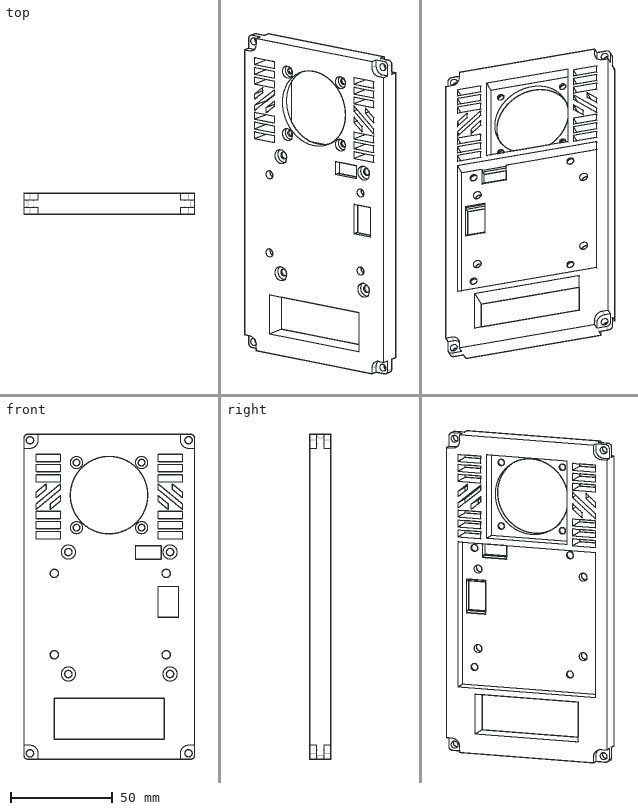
import cadquery as cq

WIDTH = 84.0
THICKNESS = 10.5
HEIGHT = 160.0
CORNER_RADIUS = 2.0
SKIN = 3.5
FRONT_Y = -THICKNESS / 2
REAR_Y = THICKNESS / 2

LUG_THICKNESS = 3.5
LUG_HOLE_INSET = 3.0
LUG_HOLE_DIAMETER = 3.5
LUG_NOTCH_SIZE = 7.0
LUG_NOTCH_RADIUS = LUG_NOTCH_SIZE - LUG_HOLE_INSET

SCREW_HEAD_DEPTH = 2.5

FAN_CENTRE = (-0.1, 50.0)
FAN_OPENING_DIAMETER = 38.0
FAN_POCKET_SIZE = 42.0
FAN_SCREW_SPACING = 32.0
FAN_SCREW_DIAMETER = 3.2
FAN_SCREW_HEAD_DIAMETER = 6.0

BOARD_CENTRE = (4.9, -8.0)
BOARD_SCREW_SPACING_X = 50.0
BOARD_SCREW_SPACING_Z = 60.0
BOARD_SCREW_DIAMETER = 3.5
BOARD_SCREW_HEAD_DIAMETER = 7.0

PLAIN_HOLE_CENTRE = (0.5, -8.5)
PLAIN_HOLE_SPACING_X = 55.0
PLAIN_HOLE_SPACING_Z = 40.0
PLAIN_HOLE_DIAMETER = 4.0

SMALL_PORT_SIZE = (12.5, 6.5)
SMALL_PORT_CENTRE = (19.25, 21.75)
TALL_PORT_SIZE = (10.0, 15.0)
TALL_PORT_CENTRE = (29.0, -2.5)
PORT_SKIN = 2.5
PORT_RELIEF_MARGIN = 1.0
WINDOW_SIZE = (54.0, 20.0)
WINDOW_CENTRE = (0.0, -60.0)

VENT_INNER_X = 24.0
VENT_OUTER_X = 36.0
VENT_BOTTOM_Z = 28.5
VENT_SLOT_HEIGHT = 3.5
VENT_GAP = 1.5
VENT_DIAGONAL_GAP = 1.0
VENT_SLOTS_PER_GROUP = 3
VENT_DIAGONAL_HEIGHT = 12.5
VENT_BAND_HEIGHT = 2.6
VENT_SHORT_BAND_WIDTH = 5.0

RECESS_WALL = 3.0
RECESS_HALF_WIDTH = VENT_OUTER_X
RECESS_TOP_Z = FAN_CENTRE[1] - FAN_POCKET_SIZE / 2 - RECESS_WALL
RECESS_BOTTOM_Z = WINDOW_CENTRE[1] + WINDOW_SIZE[1] / 2 + RECESS_WALL


def sketch_at(y):
    """Workplane facing -Y, with local axes X and Z."""
    return cq.Workplane(cq.Plane(origin=(0, y, 0), xDir=(1, 0, 0), normal=(0, -1, 0)))


def extrude_back(sketch, depth):
    """Extrude from the sketch plane towards +Y."""
    return sketch.extrude(-depth)


def block(size, centre, y=FRONT_Y, depth=THICKNESS):
    return extrude_back(sketch_at(y).center(*centre).rect(*size), depth)


def cylinders(points, diameter, depth=THICKNESS):
    return extrude_back(sketch_at(FRONT_Y).pushPoints(points).circle(diameter / 2), depth)


def rectangle_corners(centre, spacing_x, spacing_z):
    return [
        (centre[0] + sx * spacing_x / 2, centre[1] + sz * spacing_z / 2)
        for sx in (-1, 1)
        for sz in (-1, 1)
    ]


def counterbored_holes(points, diameter, head_diameter):
    return cylinders(points, diameter).union(cylinders(points, head_diameter, SCREW_HEAD_DEPTH))


def plate():
    body = block((WIDTH, HEIGHT), (0, 0))
    return body.edges("|Y").fillet(CORNER_RADIUS)


def lug_notches():
    """Front and rear cuts at each corner, rounded about the lug hole."""
    depth = (THICKNESS - LUG_THICKNESS) / 2
    size = 2 * LUG_NOTCH_SIZE
    corners = rectangle_corners((0, 0), WIDTH, HEIGHT)
    cuts = cq.Workplane()
    for y in (FRONT_Y, REAR_Y - depth):
        for corner in corners:
            cut = block((size, size), corner, y, depth)
            cuts = cuts.add(cut.edges("|Y").fillet(LUG_NOTCH_RADIUS))
    return cuts.combine()


def lug_holes():
    points = rectangle_corners((0, 0), WIDTH - 2 * LUG_HOLE_INSET, HEIGHT - 2 * LUG_HOLE_INSET)
    return cylinders(points, LUG_HOLE_DIAMETER)


def rear_recesses():
    depth = THICKNESS - SKIN
    y = FRONT_Y + SKIN
    fan_pocket = block((FAN_POCKET_SIZE, FAN_POCKET_SIZE), FAN_CENTRE, y, depth)
    board_size = (2 * RECESS_HALF_WIDTH, RECESS_TOP_Z - RECESS_BOTTOM_Z)
    board_centre = (0, (RECESS_TOP_Z + RECESS_BOTTOM_Z) / 2)
    return fan_pocket.union(block(board_size, board_centre, y, depth))


def port_reliefs():
    """Shallow steps in the recess floor that thin the wall around both ports."""
    cuts = cq.Workplane()
    for size, centre in ((SMALL_PORT_SIZE, SMALL_PORT_CENTRE), (TALL_PORT_SIZE, TALL_PORT_CENTRE)):
        relief_size = (size[0], size[1] + 2 * PORT_RELIEF_MARGIN)
        cuts = cuts.add(block(relief_size, centre, FRONT_Y + PORT_SKIN, SKIN - PORT_SKIN))
    return cuts.combine()


def fan_holes():
    points = rectangle_corners(FAN_CENTRE, FAN_SCREW_SPACING, FAN_SCREW_SPACING)
    opening = cylinders([FAN_CENTRE], FAN_OPENING_DIAMETER)
    return opening.union(counterbored_holes(points, FAN_SCREW_DIAMETER, FAN_SCREW_HEAD_DIAMETER))


def board_holes():
    points = rectangle_corners(BOARD_CENTRE, BOARD_SCREW_SPACING_X, BOARD_SCREW_SPACING_Z)
    return counterbored_holes(points, BOARD_SCREW_DIAMETER, BOARD_SCREW_HEAD_DIAMETER)


def plain_holes():
    points = rectangle_corners(PLAIN_HOLE_CENTRE, PLAIN_HOLE_SPACING_X, PLAIN_HOLE_SPACING_Z)
    return cylinders(points, PLAIN_HOLE_DIAMETER)


def rectangular_openings():
    small_port = block(SMALL_PORT_SIZE, SMALL_PORT_CENTRE)
    tall_port = block(TALL_PORT_SIZE, TALL_PORT_CENTRE)
    window = block(WINDOW_SIZE, WINDOW_CENTRE)
    return small_port.union(tall_port).union(window)


def diagonal_band(start_x, end_x, start_z, slope):
    """Parallelogram with vertical ends; start_z is its lower edge at start_x."""
    end_z = start_z + slope * (end_x - start_x)
    outline = sketch_at(FRONT_Y).polyline([
        (start_x, start_z),
        (end_x, end_z),
        (end_x, end_z + VENT_BAND_HEIGHT),
        (start_x, start_z + VENT_BAND_HEIGHT),
    ])
    return extrude_back(outline.close(), THICKNESS)


def right_vent():
    """Two groups of level slots with three falling diagonal bands between them."""
    width = VENT_OUTER_X - VENT_INNER_X
    centre_x = (VENT_OUTER_X + VENT_INNER_X) / 2
    pitch = VENT_SLOT_HEIGHT + VENT_GAP
    group_height = VENT_SLOTS_PER_GROUP * pitch - VENT_GAP
    diagonal_bottom = VENT_BOTTOM_Z + group_height + VENT_DIAGONAL_GAP
    diagonal_top = diagonal_bottom + VENT_DIAGONAL_HEIGHT
    slope = -(VENT_DIAGONAL_HEIGHT - VENT_BAND_HEIGHT) / width

    long_start_z = diagonal_top - VENT_BAND_HEIGHT
    cut = diagonal_band(VENT_INNER_X, VENT_OUTER_X, long_start_z, slope)
    upper_start_x = VENT_OUTER_X - VENT_SHORT_BAND_WIDTH
    cut = cut.union(diagonal_band(upper_start_x, VENT_OUTER_X, long_start_z, slope))
    lower_end_x = VENT_INNER_X + VENT_SHORT_BAND_WIDTH
    lower_start_z = diagonal_bottom - slope * VENT_SHORT_BAND_WIDTH
    cut = cut.union(diagonal_band(VENT_INNER_X, lower_end_x, lower_start_z, slope))

    for group_bottom in (VENT_BOTTOM_Z, diagonal_top + VENT_DIAGONAL_GAP):
        for index in range(VENT_SLOTS_PER_GROUP):
            slot_z = group_bottom + index * pitch + VENT_SLOT_HEIGHT / 2
            cut = cut.union(block((width, VENT_SLOT_HEIGHT), (centre_x, slot_z)))
    return cut


def vents():
    right = right_vent()
    return right.union(right.mirror("YZ"))


result = (
    plate()
    .cut(lug_notches())
    .cut(lug_holes())
    .cut(rear_recesses())
    .cut(port_reliefs())
    .cut(fan_holes())
    .cut(board_holes())
    .cut(plain_holes())
    .cut(rectangular_openings())
    .cut(vents())
    .solids()
)